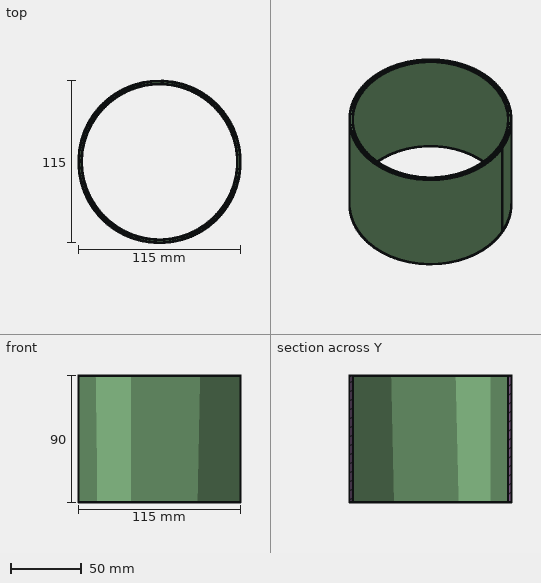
import cadquery as cq

outer_diameter = 115.0
height = 90.0
wall = 2.5
gap_angle = 1.0
edge_chamfer = 0.4

outer_radius = outer_diameter / 2
inner_radius = outer_radius - wall


def make_wall_profile():
    """Wall cross-section in the XZ plane on the -X side, with bevelled corners."""
    return (
        cq.Sketch()
        .rect(wall, height)
        .vertices()
        .chamfer(edge_chamfer)
        .moved(cq.Location(cq.Vector(-(inner_radius + wall / 2), height / 2, 0)))
    )


result = (
    cq.Workplane("XZ")
    .placeSketch(make_wall_profile())
    .revolve(360 - gap_angle, (0, 0, 0), (0, 1, 0))
)